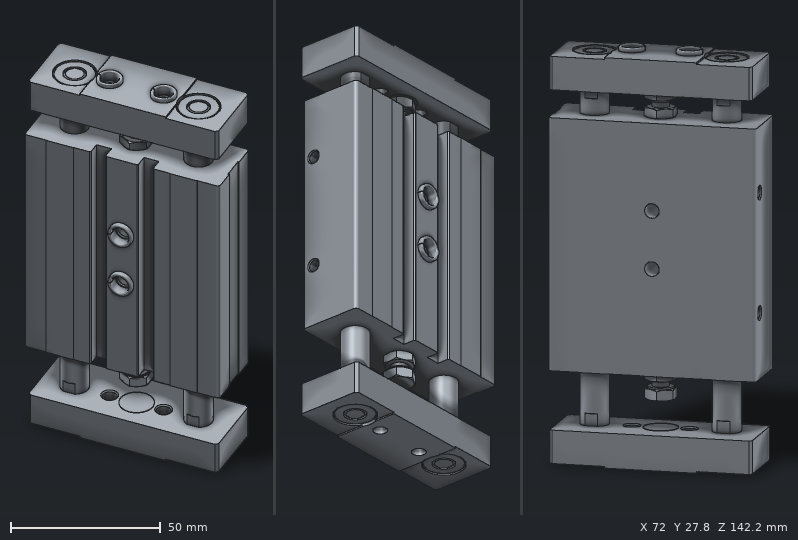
import cadquery as cq
import math


housing_width = 72.0
housing_depth = 23.9
housing_height = 86.9
housing_corner_radius = 1.3
front_relief = 0.1
rod_pad_width = 10.1
slot_width = 5.4
slot_depth = 4.8
slot_spacing = 17.5
slot_mouth_chamfer = 0.4
side_groove_width = 7.8
side_groove_depth = 0.4
port_spacing = 41.3
port_offset = 7.1
port_mouth_diameter = 5.0
port_bore_diameter = 4.1
port_depth = 5.7

rod_diameter = 10.0
rod_spacing = 45.7
rod_flat_width = 9.0
rod_flat_length = 4.3
top_gap = 10.0
bottom_gap = 19.8
plate_width = 70.0
plate_depth = 25.0
plate_overhang = 2.0
plate_thickness = 11.5
plate_corner_chamfer = 1.0
band_width = 31.8
band_height = 0.5
end_recess_diameter = 15.0
end_recess_depth = 0.7
end_boss_diameter = 14.0
end_boss_drop = 0.3
stub_diameter = 8.0
stub_top_diameter = 6.3
stub_chamfer_height = 0.9
stop_seat_diameter = 12.0
stop_seat_depth = 0.1

sleeve_diameter = 9.0
sleeve_bore = 6.5
sleeve_spacing = 20.0
sleeve_seat_depth = 2.0
sleeve_rim_radius = 0.5
sleeve_slit = 0.1
plate_sleeve_height = 1.5
front_sleeve_height = 1.9
front_sleeve_drop = 30.0
screw_hole_diameter = 5.0
screw_hole_mouth = 6.0

thread_diameter = 6.0
hexagon_width = 10.0
corner_cut_width = 0.9
corner_cut_height = 0.4
screw_head_height = 3.8
washer_face_diameter = 9.1
washer_face_height = 0.5
nut_height = 3.4
screw_engagement = 11.4

half_height = housing_height / 2
front_face = -housing_depth / 2
rod_places = (-rod_spacing / 2, rod_spacing / 2)
sleeve_places = (-sleeve_spacing / 2, sleeve_spacing / 2)
upper_sleeve_z = half_height - front_sleeve_drop
front_sleeve_heights = (upper_sleeve_z, upper_sleeve_z - sleeve_spacing)
plate_middle_y = housing_depth / 2 + plate_overhang - plate_depth / 2
upper_plate_z = half_height + top_gap
lower_plate_z = -half_height - bottom_gap
screw_length = top_gap


def cylinder(diameter, height, base=(0, 0, 0), direction=(0, 0, 1)):
    """Solid cylinder from a base centre along a direction."""
    return cq.Workplane(cq.Solid.makeCylinder(diameter / 2, height, cq.Vector(*base), cq.Vector(*direction)))


def cone(base_diameter, end_diameter, height, base=(0, 0, 0), direction=(0, 0, 1)):
    """Solid cone or truncated cone from a base centre along a direction."""
    return cq.Workplane(
        cq.Solid.makeCone(base_diameter / 2, end_diameter / 2, height, cq.Vector(*base), cq.Vector(*direction))
    )


def block(width, depth, height, centre):
    """Box around a centre point."""
    return cq.Workplane().box(width, depth, height).translate(centre)


def screw_hole_cutter(depth, base, direction):
    """Through hole with a 45 degree countersink at the base point."""
    sink = (screw_hole_mouth - screw_hole_diameter) / 2
    return cylinder(screw_hole_diameter, depth, base, direction).union(
        cone(screw_hole_mouth, screw_hole_diameter, sink, base, direction)
    )


def make_housing():
    body = cq.Workplane().box(housing_width, housing_depth, housing_height)

    strip_width = slot_spacing - slot_width
    relief = block(housing_width, front_relief, housing_height, (0, front_face + front_relief / 2, 0))
    relief = relief.cut(block(strip_width, housing_depth, housing_height, (0, 0, 0)))
    for x in rod_places:
        relief = relief.cut(block(rod_pad_width, housing_depth, housing_height, (x, 0, 0)))
    body = body.cut(relief)
    body = body.edges("|Z and (<X or >X)").fillet(housing_corner_radius)

    for x in (-slot_spacing / 2, slot_spacing / 2):
        mouth = slot_width / 2 + slot_mouth_chamfer
        slot = (
            cq.Workplane("XY", origin=(x, front_face, -half_height))
            .moveTo(-mouth, 0)
            .lineTo(-mouth, front_relief)
            .lineTo(-slot_width / 2, front_relief + slot_mouth_chamfer)
            .lineTo(-slot_width / 2, slot_depth)
            .lineTo(slot_width / 2, slot_depth)
            .lineTo(slot_width / 2, front_relief + slot_mouth_chamfer)
            .lineTo(mouth, front_relief)
            .lineTo(mouth, 0)
            .close()
            .extrude(housing_height)
        )
        body = body.cut(slot)

    groove_x = (housing_width - side_groove_depth) / 2
    body = body.cut(block(side_groove_depth, side_groove_width, housing_height, (groove_x, 0, 0)))

    for x in rod_places:
        body = body.cut(cylinder(rod_diameter, housing_height, (x, 0, -half_height)))

    for end in (-1, 1):
        body = body.cut(cylinder(thread_diameter, screw_engagement, (0, 0, end * half_height), (0, 0, -end)))

    for z in (-port_spacing / 2, port_spacing / 2):
        mouth = (-housing_width / 2, port_offset, z)
        sink = (port_mouth_diameter - port_bore_diameter) / 2
        bottom = (mouth[0] + port_depth, port_offset, z)
        body = body.cut(cone(port_mouth_diameter, port_bore_diameter, sink, mouth, (1, 0, 0)))
        body = body.cut(cylinder(port_bore_diameter, port_depth, mouth, (1, 0, 0)))
        body = body.cut(cone(port_bore_diameter, 0, port_bore_diameter / 2, bottom, (1, 0, 0)))

    for z in front_sleeve_heights:
        body = body.cut(cylinder(sleeve_diameter, sleeve_seat_depth, (0, front_face, z), (0, 1, 0)))
        seat = (0, front_face + sleeve_seat_depth, z)
        body = body.cut(screw_hole_cutter(housing_depth, seat, (0, 1, 0)))
    return body


def make_plate():
    """End plate with its inner face on Z = 0 and its outer face towards +Z."""
    total = plate_thickness + band_height
    plate = block(plate_width, plate_depth, plate_thickness, (0, plate_middle_y, plate_thickness / 2))
    plate = plate.edges("|Z").chamfer(plate_corner_chamfer)
    plate = plate.union(block(band_width, plate_depth, total, (0, plate_middle_y, total / 2)))

    for x in rod_places:
        floor = plate_thickness - end_recess_depth
        boss_top = plate_thickness - end_boss_drop
        plate = plate.cut(cylinder(end_recess_diameter, total, (x, 0, floor)))
        plate = plate.union(cylinder(end_boss_diameter, boss_top - floor, (x, 0, floor)))
        stub_base = boss_top - stub_chamfer_height
        plate = plate.cut(cylinder(stub_diameter, stub_chamfer_height, (x, 0, stub_base)))
        plate = plate.union(cone(stub_diameter, stub_top_diameter, stub_chamfer_height, (x, 0, stub_base)))

    plate = plate.cut(cylinder(stop_seat_diameter, stop_seat_depth))

    for x in sleeve_places:
        plate = plate.cut(screw_hole_cutter(total, (x, 0, 0), (0, 0, 1)))
    return plate


def make_yoke():
    lower_plate = make_plate().rotate((0, 0, 0), (0, 1, 0), 180).translate((0, 0, lower_plate_z))
    upper_plate = make_plate().translate((0, 0, upper_plate_z))

    seat_z = upper_plate_z + plate_thickness + band_height - sleeve_seat_depth
    for x in sleeve_places:
        upper_plate = upper_plate.cut(cylinder(sleeve_diameter, 2 * sleeve_seat_depth, (x, 0, seat_z)))
        upper_plate = upper_plate.cut(screw_hole_cutter(sleeve_seat_depth, (x, 0, seat_z), (0, 0, -1)))

    yoke = lower_plate.union(upper_plate)
    for x in rod_places:
        rod = cylinder(rod_diameter, upper_plate_z - lower_plate_z, (x, 0, lower_plate_z))

        for z in (lower_plate_z + rod_flat_length / 2, upper_plate_z - rod_flat_length / 2):
            flats = block(rod_diameter, rod_diameter, rod_flat_length, (x, 0, z))
            flats = flats.cut(block(rod_diameter, rod_flat_width, rod_flat_length, (x, 0, z)))
            rod = rod.cut(flats)
        yoke = yoke.union(rod)
    return yoke


def make_sleeve(height):
    """Slit centring sleeve on Z = 0, standing `height` above and seated below; slit towards -X."""
    radius = sleeve_diameter / 2
    length = height + sleeve_seat_depth
    tube = cylinder(sleeve_diameter, length, (0, 0, -sleeve_seat_depth))
    tube = tube.cut(cylinder(sleeve_bore, length, (0, 0, -sleeve_seat_depth)))
    sleeve = tube.faces(">Z").edges().fillet(sleeve_rim_radius)
    slit_height = 2 * length
    return sleeve.cut(block(radius, sleeve_slit, slit_height, (-radius, 0, 0)))


def make_hexagon(height):
    """Hexagon on Z = 0 with corners along Y, cut back at both ends."""
    corner_diameter = hexagon_width / math.cos(math.radians(30))
    prism = cq.Workplane().polygon(6, corner_diameter).extrude(height).rotate((0, 0, 0), (0, 0, 1), 30)
    rounding = cylinder(corner_diameter, height).edges().chamfer(corner_cut_height, corner_cut_width)
    return prism.intersect(rounding)


def make_stop_screw():
    """Screw that stands out of an end face at Z = 0, head upwards."""
    head_base = screw_length - screw_head_height
    shank = cylinder(thread_diameter, screw_engagement + head_base, (0, 0, -screw_engagement))
    washer_face = cylinder(washer_face_diameter, washer_face_height, (0, 0, head_base - washer_face_height))
    return shank.union(washer_face).union(make_hexagon(screw_head_height).translate((0, 0, head_base)))


def make_lock_nut():
    return make_hexagon(nut_height).cut(cylinder(thread_diameter, nut_height))


def on_upper_end(body):
    return body.translate((0, 0, half_height))


def on_lower_end(body):
    return body.rotate((0, 0, 0), (1, 0, 0), 180).translate((0, 0, -half_height))


housing = make_housing()
yoke = make_yoke()

plate_sleeves = []
for x in sleeve_places:
    top_face = upper_plate_z + plate_thickness + band_height
    plate_sleeves.append(make_sleeve(plate_sleeve_height).translate((x, 0, top_face)))

front_sleeves = []
for z in front_sleeve_heights:
    facing_front = make_sleeve(front_sleeve_height).rotate((0, 0, 0), (1, 0, 0), 90)
    front_sleeves.append(facing_front.translate((0, front_face, z)))

stop_screws = []
lock_nuts = []
for place in (on_upper_end, on_lower_end):
    stop_screws.append(place(make_stop_screw()))
    lock_nuts.append(place(make_lock_nut()))

bodies = [housing, yoke, *plate_sleeves, *front_sleeves, *stop_screws, *lock_nuts]
result = cq.Compound.makeCompound([body.val() for body in bodies])